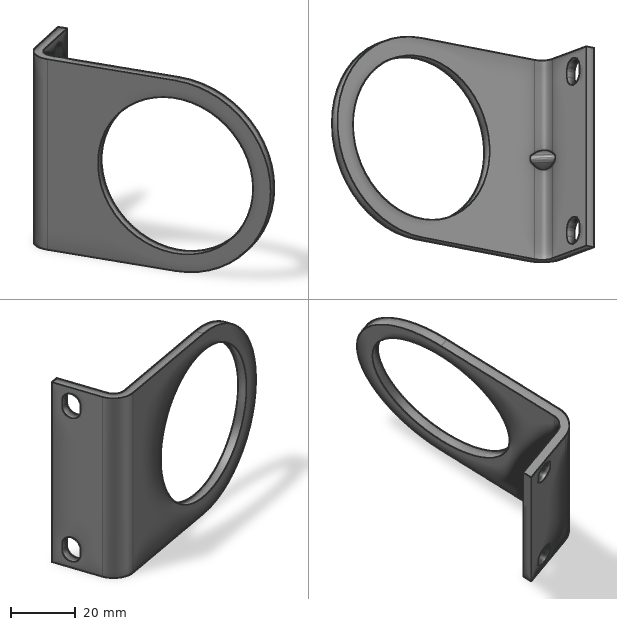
import cadquery as cq
import math

length = 82.0
depth = 25.0
height = 64.0
thickness = 3.0
bend_outer_radius = 7.0
bend_inner_radius = bend_outer_radius - thickness

end_radius = height / 2
ring_center_x = length - end_radius
ring_hole_diameter = 52.1

slot_width = 6.6
slot_length = 8.5
slot_edge_distance = 7.0
slot_spacing = 51.0

rib_leg = 5.6
rib_root = 2.5
rib_top_width = 1.6
rib_side_angle = 45
rib_edge_radius = 1.5


def make_bent_sheet():
    """L-shaped sheet, centred on Z = 0, with a rounded bend."""
    sheet = (
        cq.Workplane("XY")
        .moveTo(0, 0)
        .lineTo(length, 0)
        .lineTo(length, thickness)
        .lineTo(thickness, thickness)
        .lineTo(thickness, depth)
        .lineTo(0, depth)
        .close()
        .extrude(height / 2, both=True)
    )
    outer_corner = cq.selectors.NearestToPointSelector((0, 0, 0))
    inner_corner = cq.selectors.NearestToPointSelector((thickness, thickness, 0))
    sheet = sheet.edges("|Z").edges(outer_corner).fillet(bend_outer_radius)
    return sheet.edges("|Z").edges(inner_corner).fillet(bend_inner_radius)


def make_outline():
    """Front outline of the bracket, extruded through its full depth."""
    return (
        cq.Workplane("XZ")
        .moveTo(0, -end_radius)
        .lineTo(ring_center_x, -end_radius)
        .threePointArc((length, 0), (ring_center_x, end_radius))
        .lineTo(0, end_radius)
        .close()
        .extrude(-depth)
    )


def make_ring_hole():
    return (
        cq.Workplane("XZ")
        .center(ring_center_x, 0)
        .circle(ring_hole_diameter / 2)
        .extrude(-thickness)
    )


def make_slots():
    """Upright slots through the short flange."""
    slot_y = depth - slot_edge_distance
    return (
        cq.Workplane("YZ")
        .pushPoints([(slot_y, -slot_spacing / 2), (slot_y, slot_spacing / 2)])
        .slot2D(slot_length, slot_width, 90)
        .extrude(thickness)
    )


def make_rib():
    """Sloping rib across the inside of the bend, with leaning sides and rounded long edges."""
    root_to_tip = rib_leg + 2 * (thickness - rib_root)
    ridge_distance = root_to_tip / math.sqrt(2)
    top_half = rib_top_width / 2
    base_half = top_half + ridge_distance * math.tan(math.radians(rib_side_angle))
    across_bend = cq.Plane(origin=(rib_root, rib_root, 0), xDir=(1, 1, 0), normal=(1, -1, 0))
    bar = (
        cq.Workplane(across_bend)
        .moveTo(0, -base_half)
        .lineTo(ridge_distance, -top_half)
        .lineTo(ridge_distance, top_half)
        .lineTo(0, base_half)
        .close()
        .extrude(root_to_tip, both=True)
        .faces(cq.selectors.DirectionMinMaxSelector(cq.Vector(1, 1, 0)))
        .edges("#Z")
        .fillet(rib_edge_radius)
    )
    inside_corner = (
        cq.Workplane("XY")
        .box(root_to_tip, root_to_tip, 2 * base_half, centered=(False, False, True))
        .translate((rib_root, rib_root, 0))
    )
    return bar.intersect(inside_corner)


bracket = make_bent_sheet().intersect(make_outline())
bracket = bracket.cut(make_ring_hole()).cut(make_slots())
result = bracket.union(make_rib())